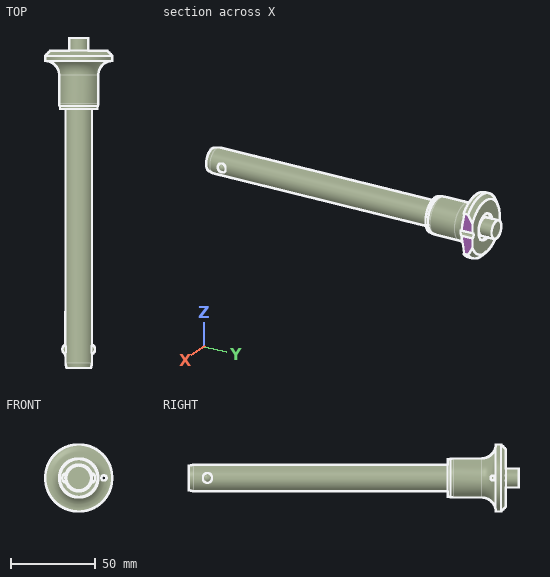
import cadquery as cq
import math


shank_dia = 16.0
shank_length = 153.8
tip_dia = 14.6
tip_length = 3.0

ball_protrusion = 1.8
ball_radius = 3.0
ball_from_tip = 11.2

sleeve_dia = 23.4
sleeve_end_dia = 22.4
sleeve_end_length = 1.8
sleeve_taper_dia = 23.0
sleeve_taper_length = 1.7

flange_dia = 40.0
flange_rim_length = 3.1
flange_chamfer = 3.0
flange_top = 34.7
flare_radius = (flange_dia - sleeve_dia) / 2

lanyard_hole_dia = 3.0
lanyard_hole_offset = 15.0

recess_dia = 16.4
recess_depth = 1.0
button_dia = 11.5
button_top = 42.4

rim_top = flange_top - flange_chamfer
rim_bottom = rim_top - flange_rim_length
flare_bottom = rim_bottom - flare_radius
recess_floor = flange_top - recess_depth


def cylinder(diameter, start, end):
    """Solid cylinder on the Y axis between two Y stations."""
    base = cq.Workplane("XZ", origin=(0, start, 0))
    return base.circle(diameter / 2).extrude(start - end)


def make_shank():
    """Shank with a tapered tip."""
    shank_radius = shank_dia / 2
    return (
        cq.Workplane("XY")
        .moveTo(0, 0)
        .lineTo(shank_radius, 0)
        .lineTo(shank_radius, tip_length - shank_length)
        .lineTo(tip_dia / 2, -shank_length)
        .lineTo(0, -shank_length)
        .close()
        .revolve(360, (0, 0, 0), (0, 1, 0))
    )


def make_handle():
    """Revolved sleeve, flare and chamfered flange."""
    sleeve_radius = sleeve_dia / 2
    flange_radius = flange_dia / 2
    arc_inset = flare_radius * (1 - math.sqrt(0.5))
    flare_middle = (sleeve_radius + arc_inset, rim_bottom - arc_inset)
    return (
        cq.Workplane("XY")
        .moveTo(0, 0)
        .lineTo(sleeve_end_dia / 2, 0)
        .lineTo(sleeve_end_dia / 2, sleeve_end_length)
        .lineTo(sleeve_taper_dia / 2, sleeve_end_length)
        .lineTo(sleeve_radius, sleeve_end_length + sleeve_taper_length)
        .lineTo(sleeve_radius, flare_bottom)
        .threePointArc(flare_middle, (flange_radius, rim_bottom))
        .lineTo(flange_radius, rim_top)
        .lineTo(flange_radius - flange_chamfer, flange_top)
        .lineTo(0, flange_top)
        .close()
        .revolve(360, (0, 0, 0), (0, 1, 0))
    )


def make_ball(side):
    """Locking ball standing out of the shank; side is +1 or -1 along X."""
    center_x = shank_dia / 2 + ball_protrusion - ball_radius
    center_y = ball_from_tip - shank_length
    ball = cq.Workplane("XY").sphere(ball_radius).translate((center_x, center_y, 0))
    return ball if side > 0 else ball.mirror("YZ")


def make_lanyard_hole():
    """Cutter along Y through the flange and flare, clear of the sleeve."""
    hole = cylinder(lanyard_hole_dia, flare_bottom, flange_top)
    return hole.translate((lanyard_hole_offset, 0, 0))


result = make_shank().union(make_handle())
result = result.cut(cylinder(recess_dia, recess_floor, flange_top))
result = result.union(cylinder(button_dia, recess_floor, button_top))
for ball_side in (-1, 1):
    result = result.union(make_ball(ball_side))
result = result.cut(make_lanyard_hole())